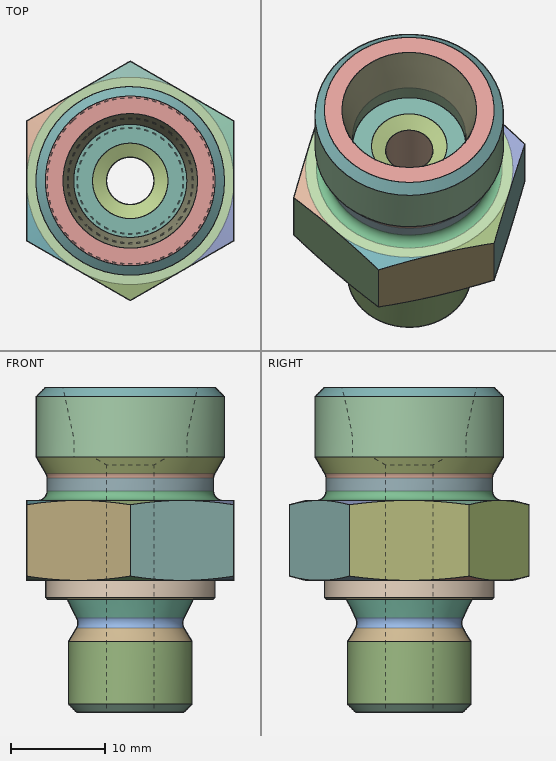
import cadquery as cq
import math

total_height = 34.5
lower_thread_top = 7.52
collar_bottom = 12.0
hex_bottom = 14.0
hex_top = 22.5
upper_thread_bottom = 27.1

hex_across_flats = 22.0
hex_chamfer_angle = 15.0
upper_thread_radius = 20.0 / 2
upper_thread_chamfer = 1.0
upper_groove_radius = 17.7 / 2
upper_groove_fillet = 1.0
groove_blend_radius = 1.0
collar_radius = 18.0 / 2
collar_chamfer = 0.2
lower_thread_radius = 13.15 / 2
lower_thread_chamfer = 0.9
neck_top_radius = 6.7
neck_radius = 5.6
neck_upper_blend = 10.05
neck_lower_blend = 8.95
neck_blend_radius = 5.73
neck_middle = 9.6
runout_angle = 30.0

cone_mouth_radius = 7.15
cone_half_angle = 12.0
socket_radius = 12.0 / 2
socket_depth = 7.4
countersink_radius = 8.0 / 2
countersink_half_angle = 60.0
through_radius = 5.0 / 2

hex_corner_radius = hex_across_flats / math.sqrt(3)
runout = math.radians(runout_angle)
cone_depth = (cone_mouth_radius - socket_radius) / math.tan(math.radians(cone_half_angle))
countersink_depth = (countersink_radius - through_radius) / math.tan(math.radians(countersink_half_angle))
socket_floor = total_height - socket_depth


def revolve_profile(profile):
    """Turn a closed (radius, height) outline around the Z axis."""
    return profile.close().revolve(360, (0, 0, 0), (0, 1, 0))


def lower_stud():
    """Lower thread, waisted neck and sealing collar."""
    return revolve_profile(
        cq.Workplane("XZ")
        .lineTo(lower_thread_radius - lower_thread_chamfer, 0)
        .lineTo(lower_thread_radius, lower_thread_chamfer)
        .lineTo(lower_thread_radius, lower_thread_top)
        .lineTo(neck_blend_radius, neck_lower_blend)
        .threePointArc((neck_radius, neck_middle), (neck_blend_radius, neck_upper_blend))
        .lineTo(neck_top_radius, collar_bottom)
        .lineTo(collar_radius - collar_chamfer, collar_bottom)
        .lineTo(collar_radius, collar_bottom + collar_chamfer)
        .lineTo(collar_radius, hex_bottom)
        .lineTo(0, hex_bottom)
    )


def hexagon():
    """Hexagon with corners on Y, its ends turned to a shallow cone."""
    height = hex_top - hex_bottom
    flat_radius = hex_across_flats / 2
    drop = (hex_corner_radius - flat_radius) * math.tan(math.radians(hex_chamfer_angle))
    prism = (
        cq.Workplane("XY")
        .workplane(offset=hex_bottom)
        .polygon(6, 2 * hex_corner_radius)
        .extrude(height)
        .rotate((0, 0, 0), (0, 0, 1), 90)
    )
    turned_envelope = revolve_profile(
        cq.Workplane("XZ")
        .moveTo(0, hex_bottom)
        .lineTo(flat_radius, hex_bottom)
        .lineTo(hex_corner_radius, hex_bottom + drop)
        .lineTo(hex_corner_radius, hex_top - drop)
        .lineTo(flat_radius, hex_top)
        .lineTo(0, hex_top)
    )
    return prism.intersect(turned_envelope)


def upper_stud():
    """Upper thread and its undercut, blended into the hexagon."""
    blend_start = (
        upper_thread_bottom
        - (upper_thread_radius - upper_groove_radius) / math.tan(runout)
        - groove_blend_radius * math.tan(runout / 2)
    )

    def blend_point(angle):
        return (
            upper_groove_radius + groove_blend_radius * (1 - math.cos(angle)),
            blend_start + groove_blend_radius * math.sin(angle),
        )

    fillet_middle = upper_groove_fillet * (1 - math.sqrt(0.5))
    return revolve_profile(
        cq.Workplane("XZ")
        .moveTo(0, hex_top)
        .lineTo(upper_groove_radius + upper_groove_fillet, hex_top)
        .threePointArc(
            (upper_groove_radius + fillet_middle, hex_top + fillet_middle),
            (upper_groove_radius, hex_top + upper_groove_fillet),
        )
        .lineTo(*blend_point(0))
        .threePointArc(blend_point(runout / 2), blend_point(runout))
        .lineTo(upper_thread_radius, upper_thread_bottom)
        .lineTo(upper_thread_radius, total_height - upper_thread_chamfer)
        .lineTo(upper_thread_radius - upper_thread_chamfer, total_height)
        .lineTo(0, total_height)
    )


def bore():
    """Sealing cone, tube socket, countersink and through hole."""
    return revolve_profile(
        cq.Workplane("XZ")
        .lineTo(through_radius, 0)
        .lineTo(through_radius, socket_floor - countersink_depth)
        .lineTo(countersink_radius, socket_floor)
        .lineTo(socket_radius, socket_floor)
        .lineTo(socket_radius, total_height - cone_depth)
        .lineTo(cone_mouth_radius, total_height)
        .lineTo(0, total_height)
    )


result = lower_stud().union(hexagon()).union(upper_stud()).cut(bore())